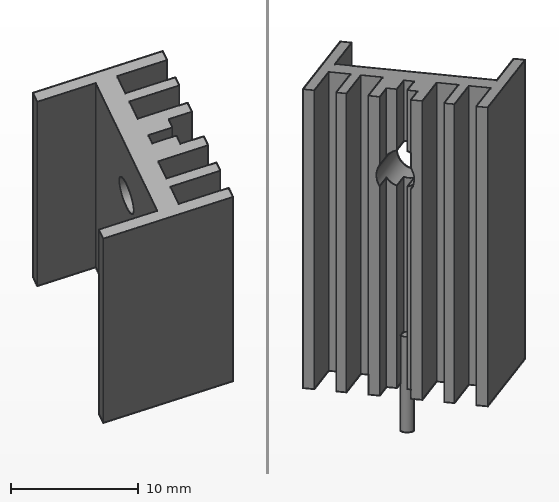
import cadquery as cq

TOTAL_HEIGHT = 29.0
PIN_EXPOSED = 4.0
SINK_HEIGHT = TOTAL_HEIGHT - PIN_EXPOSED
SINK_WIDTH = 15.0
SINK_DEPTH = 10.9

WALL = 0.93
WEB = 1.8
FIN_LENGTH = 4.2
FIN_TIP_Y = SINK_DEPTH
WEB_BACK_Y = FIN_TIP_Y - FIN_LENGTH
WEB_FRONT_Y = WEB_BACK_Y - WEB

FIN = 0.85
FIN_CENTER_X = 4.38

BLOCK_WIDTH = 4.38
UPPER_SLOT_WIDTH = 2.52
UPPER_SLOT_DEPTH = 1.97
PIN_SLOT_WIDTH = 0.85
PIN_SLOT_DEPTH = 4.0
PIN_SLOT_FLOOR_Y = FIN_TIP_Y - PIN_SLOT_DEPTH

HOLE_DIAMETER = 3.07
HOLE_FROM_TOP = 6.58

PIN_DIAMETER = 1.1
PIN_INSERTED = PIN_EXPOSED
PIN_CENTER_Y = PIN_SLOT_FLOOR_Y + PIN_DIAMETER / 2


def upright_bar(center_x, width, front_y, back_y):
    """Rectangular bar running the full height of the heat sink."""
    depth = back_y - front_y
    return (
        cq.Workplane("XY")
        .center(center_x, front_y + depth / 2)
        .rect(width, depth)
        .extrude(SINK_HEIGHT)
    )


def make_pin():
    """Round pin, half inside the heat sink and half below it."""
    return (
        cq.Workplane("XY", origin=(0, PIN_CENTER_Y, -PIN_EXPOSED))
        .circle(PIN_DIAMETER / 2)
        .extrude(PIN_EXPOSED + PIN_INSERTED)
    )


def make_heat_sink(pin):
    """Finned channel with a mounting hole and a seat for the pin."""
    sink = upright_bar(0, SINK_WIDTH, WEB_FRONT_Y, WEB_BACK_Y)
    sink = sink.union(upright_bar(0, BLOCK_WIDTH, WEB_FRONT_Y, FIN_TIP_Y))
    for side in (-1, 1):
        wall_x = side * (SINK_WIDTH - WALL) / 2
        sink = sink.union(upright_bar(wall_x, WALL, 0, SINK_DEPTH))
        sink = sink.union(upright_bar(side * FIN_CENTER_X, FIN, WEB_FRONT_Y, FIN_TIP_Y))

    sink = sink.cut(upright_bar(0, UPPER_SLOT_WIDTH, FIN_TIP_Y - UPPER_SLOT_DEPTH, FIN_TIP_Y))
    sink = sink.cut(upright_bar(0, PIN_SLOT_WIDTH, PIN_SLOT_FLOOR_Y, FIN_TIP_Y))

    hole = (
        cq.Workplane("XZ", origin=(0, 0, SINK_HEIGHT - HOLE_FROM_TOP))
        .circle(HOLE_DIAMETER / 2)
        .extrude(-SINK_DEPTH)
    )
    return sink.cut(hole).cut(pin)


pin = make_pin()
heat_sink = make_heat_sink(pin)
result = cq.Compound.makeCompound([heat_sink.solids().val(), pin.val()])